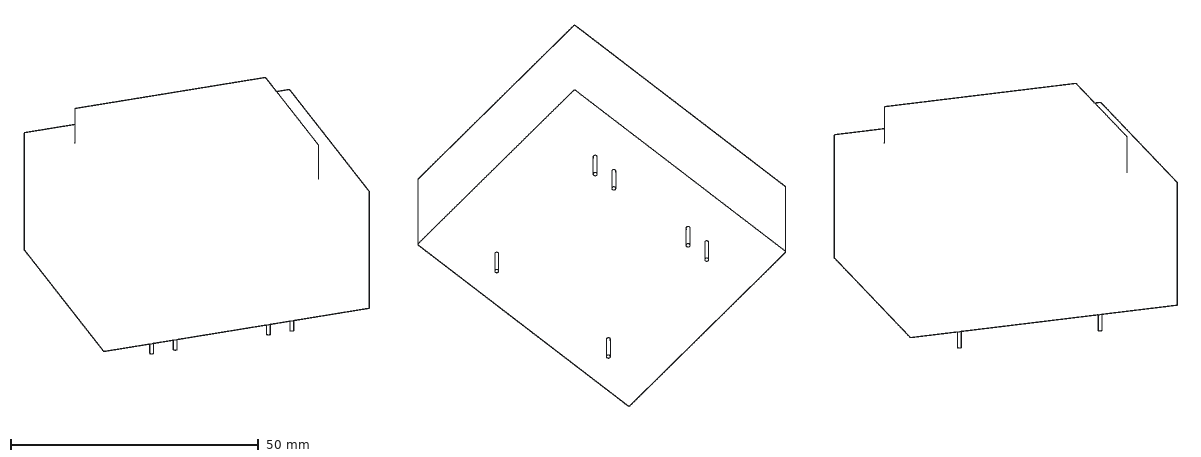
import cadquery as cq

base_width = 48.0
base_length = 57.0
base_height = 26.6
raised_width = 32.0
raised_length = 41.0
raised_height = 8.0
edge_radius = 0.25

pin_diameter = 0.8
pin_length = 7.0
row_spacing = 30.05
outer_pin_spacing = row_spacing
inner_pin_spacing = 20.0

row_x = row_spacing / 2
outer_y = outer_pin_spacing / 2
inner_y = inner_pin_spacing / 2

pin_positions = [(-row_x, y) for y in (-outer_y, outer_y)]
pin_positions += [(row_x, y) for y in (-outer_y, -inner_y, inner_y, outer_y)]


def rounded_block(width, length, height, bottom_z):
    """Block with rounded upright and upper edges and a sharp bottom outline."""
    block = cq.Workplane("XY", origin=(0, 0, bottom_z)).box(
        width, length, height, centered=(True, True, False)
    )
    return block.edges("|Z or >Z").fillet(edge_radius)


def make_housing():
    """Two stacked blocks joined in one solid, with a small fillet around the foot of the raised block."""
    base = rounded_block(base_width, base_length, base_height, 0)
    raised = rounded_block(raised_width, raised_length, raised_height, base_height)
    stacked = base.union(raised)
    raised_foot = cq.selectors.BoxSelector(
        (-raised_width / 2 - edge_radius, -raised_length / 2 - edge_radius, base_height - edge_radius),
        (raised_width / 2 + edge_radius, raised_length / 2 + edge_radius, base_height + edge_radius),
    )
    return stacked.edges(raised_foot).fillet(edge_radius)


def make_pin(x, y):
    """Plain round pin hanging from the housing underside."""
    return cq.Workplane("XY", origin=(x, y, -pin_length)).circle(pin_diameter / 2).extrude(pin_length)


housing = make_housing()
pins = [make_pin(x, y) for x, y in pin_positions]

result = cq.Compound.makeCompound([housing.val(), *[pin.val() for pin in pins]])